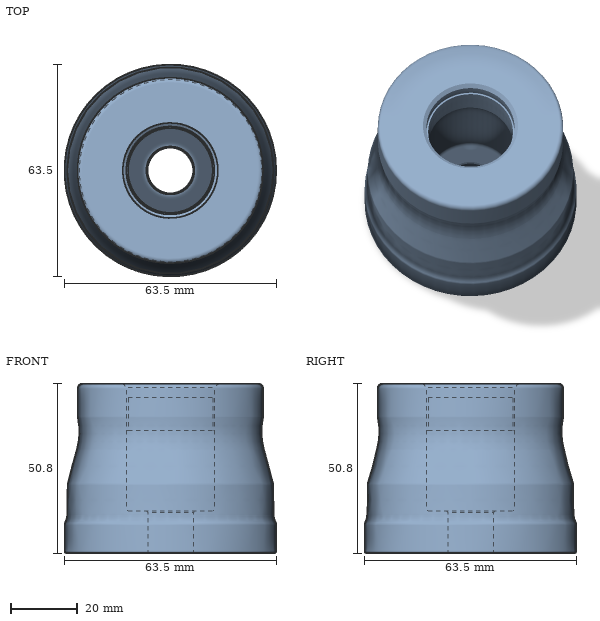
import cadquery as cq
import math

BASE_RADIUS = 31.75
HEIGHT = 50.8

FOOT_FILLET = 0.75
FLANGE_CORNER_Z = 8.77
FLANGE_CONE_ANGLE = math.radians(25)
FLANGE_TOP_FILLET = 1.65
SKIRT_BOTTOM_RADIUS = 31.0
SKIRT_ROOT_FILLET = 5.2

SHOULDER_Z = 20.7
SHOULDER_CONE_ANGLE = math.radians(15)
BLEND_FILLET = 2.5

WAIST_Z = 36.4
WAIST_RADIUS = 27.33
WAIST_ARC_RADIUS = 20.3

COLLAR_RADIUS = 27.8
COLLAR_FILLET = 1.45

BORE_RADIUS = 13.2
BORE_MOUTH_CHAMFER = 1.05
BORE_DEPTH = 38.1
BORE_FLOOR_FILLET = 0.9
HOLE_RADIUS = 6.85
HOLE_CHAMFER = 0.35

SLEEVE_INNER_RADIUS = 12.7
SLEEVE_TOP_DEPTH = 4.05
SLEEVE_LENGTH = 9.85
SLEEVE_CHAMFER_WIDTH = 0.3
SLEEVE_CHAMFER_HEIGHT = 0.95


def waist_point(z):
    """Point on the concave waist arc at height z, as (radius, z)."""
    centre_radius = WAIST_RADIUS + WAIST_ARC_RADIUS
    return centre_radius - math.sqrt(WAIST_ARC_RADIUS**2 - (z - WAIST_Z) ** 2), z


def collar_blend():
    """Ends of the rounding between the waist arc and the collar, lower end first."""
    waist_centre_radius = WAIST_RADIUS + WAIST_ARC_RADIUS
    radial_gap = waist_centre_radius - (COLLAR_RADIUS - BLEND_FILLET)
    centre_distance = WAIST_ARC_RADIUS + BLEND_FILLET
    rise = math.sqrt(centre_distance**2 - radial_gap**2)
    share = WAIST_ARC_RADIUS / centre_distance
    lower_end = (waist_centre_radius - radial_gap * share, WAIST_Z + rise * share)
    upper_end = (COLLAR_RADIUS, WAIST_Z + rise)
    return lower_end, upper_end


def rounded_corner(outline, before, corner, after, radius):
    """Extend the outline to a sharp corner and round it, given the points before and after it."""
    to_corner = cq.Vector(*corner) - cq.Vector(*before)
    from_corner = cq.Vector(*after) - cq.Vector(*corner)
    setback = radius * math.tan(to_corner.getAngle(from_corner) / 2)
    start = cq.Vector(*corner) - to_corner.normalized() * setback
    end = cq.Vector(*corner) + from_corner.normalized() * setback
    return outline.lineTo(start.x, start.y).tangentArcPoint((end.x, end.y), relative=False)


def make_outer_form():
    """Solid of revolution for the outside of the housing."""
    waist_bottom = waist_point(WAIST_Z - WAIST_ARC_RADIUS * math.sin(SHOULDER_CONE_ANGLE))
    waist_top, collar_bottom = collar_blend()
    shoulder_radius = waist_bottom[0] + (waist_bottom[1] - SHOULDER_Z) * math.tan(SHOULDER_CONE_ANGLE)
    skirt_bottom_z = FLANGE_CORNER_Z + (BASE_RADIUS - SKIRT_BOTTOM_RADIUS) / math.tan(FLANGE_CONE_ANGLE)

    axis_bottom = (0, 0)
    axis_top = (0, HEIGHT)
    foot = (BASE_RADIUS, 0)
    flange_corner = (BASE_RADIUS, FLANGE_CORNER_Z)
    skirt_bottom = (SKIRT_BOTTOM_RADIUS, skirt_bottom_z)
    shoulder = (shoulder_radius, SHOULDER_Z)
    collar_top = (COLLAR_RADIUS, HEIGHT)

    outline = cq.Workplane("XZ").moveTo(*axis_bottom)
    outline = rounded_corner(outline, axis_bottom, foot, flange_corner, FOOT_FILLET)
    outline = rounded_corner(outline, foot, flange_corner, skirt_bottom, FLANGE_TOP_FILLET)
    outline = rounded_corner(outline, flange_corner, skirt_bottom, shoulder, SKIRT_ROOT_FILLET)
    outline = rounded_corner(outline, skirt_bottom, shoulder, waist_bottom, BLEND_FILLET)
    outline = (
        outline.lineTo(*waist_bottom)
        .threePointArc((WAIST_RADIUS, WAIST_Z), waist_top)
        .tangentArcPoint(collar_bottom, relative=False)
    )
    outline = rounded_corner(outline, collar_bottom, collar_top, axis_top, COLLAR_FILLET)
    return outline.lineTo(*axis_top).close().revolve(360, (0, 0), (0, 1))


def make_bore():
    """Cutter for the chamfered bore and the smaller hole through its floor."""
    floor_z = HEIGHT - BORE_DEPTH
    return (
        cq.Workplane("XZ")
        .lineTo(HOLE_RADIUS, 0)
        .lineTo(HOLE_RADIUS, floor_z - HOLE_CHAMFER)
        .lineTo(HOLE_RADIUS + HOLE_CHAMFER, floor_z)
        .lineTo(BORE_RADIUS - BORE_FLOOR_FILLET, floor_z)
        .tangentArcPoint((BORE_RADIUS, floor_z + BORE_FLOOR_FILLET), relative=False)
        .lineTo(BORE_RADIUS, HEIGHT - BORE_MOUTH_CHAMFER)
        .lineTo(BORE_RADIUS + BORE_MOUTH_CHAMFER, HEIGHT)
        .lineTo(0, HEIGHT)
        .close()
        .revolve(360, (0, 0), (0, 1))
    )


def make_housing():
    return make_outer_form().cut(make_bore())


def make_sleeve():
    """Thin ring fitting the bore, relieved inside at its lower end."""
    top_z = HEIGHT - SLEEVE_TOP_DEPTH
    bottom_z = top_z - SLEEVE_LENGTH
    return (
        cq.Workplane("XZ")
        .moveTo(BORE_RADIUS, bottom_z)
        .lineTo(BORE_RADIUS, top_z)
        .lineTo(SLEEVE_INNER_RADIUS, top_z)
        .lineTo(SLEEVE_INNER_RADIUS, bottom_z + SLEEVE_CHAMFER_HEIGHT)
        .lineTo(SLEEVE_INNER_RADIUS + SLEEVE_CHAMFER_WIDTH, bottom_z)
        .close()
        .revolve(360, (0, 0), (0, 1))
    )


housing = make_housing()
sleeve = make_sleeve()

result = cq.Compound.makeCompound([housing.val(), sleeve.val()])